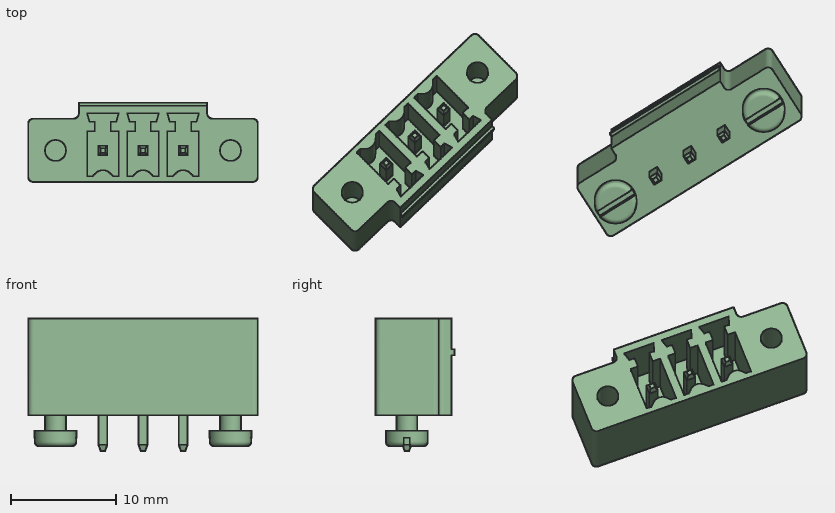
import cadquery as cq
import math


total_length = 21.82
flange_depth = 6.03
housing_depth = 7.25
housing_height = 9.2
back_length = 12.2
corner_radius = 0.5

rib_protrusion = 0.3
rib_bottom = 5.7
rib_height = 0.6

pitch = 3.81
contact_count = 3
row_y = 3.0
pin_width = 0.86
pin_tip_width = 0.43
pin_taper_height = 0.6
pin_bottom = -3.4
pin_top = 7.8

floor_thickness = 2.0
pocket_depth = housing_height - floor_thickness
pocket_width = 3.0
pocket_front_y = 0.53
pocket_shoulder_y = 4.81
neck_width = 1.5
dovetail_front_y = 5.72
dovetail_front_width = 2.54
dovetail_back_y = 6.52
bump_base_width = 2.0
bump_height = 0.6
bump_flank_angle = math.radians(45)

screw_spacing = 16.62
hole_diameter = 2.0
hole_depth = pocket_depth
shank_diameter = 2.0
shank_length = 1.45
head_diameter = 4.0
head_height = 1.5
head_rounding = 0.45
slot_width = 0.6
slot_depth = 0.8

contact_xs = [pitch * (i - (contact_count - 1) / 2) for i in range(contact_count)]
screw_points = [(-screw_spacing / 2, row_y), (screw_spacing / 2, row_y)]


def make_housing():
    """Flanged block with a wider middle section and a rib across its back."""
    flanges = (
        cq.Workplane("XY")
        .box(total_length, flange_depth, housing_height, centered=(True, False, False))
        .edges("|Z")
        .fillet(corner_radius)
    )
    middle = cq.Workplane("XY").box(
        back_length, housing_depth, housing_height, centered=(True, False, False)
    )
    inner_corners = cq.selectors.BoxSelector(
        (-back_length / 2 - corner_radius, flange_depth - corner_radius, 0),
        (back_length / 2 + corner_radius, flange_depth + corner_radius, housing_height),
    )
    block = flanges.union(middle).edges("|Z").edges(inner_corners).fillet(corner_radius)
    rib = cq.Workplane("XY", origin=(0, row_y, rib_bottom)).box(
        back_length, housing_depth + rib_protrusion - row_y, rib_height, centered=(True, False, False)
    )
    return block.union(rib)


def make_pocket(x):
    """Keyed opening: main chamber, neck and dovetail, with a rounded bump on the front wall."""
    half_base = bump_base_width / 2
    flank_slope = math.tan(bump_flank_angle)
    crown_radius = (half_base * flank_slope - bump_height) / (1 / math.cos(bump_flank_angle) - 1)
    tangent_x = crown_radius * math.sin(bump_flank_angle)
    crown_y = pocket_front_y + bump_height
    tangent_y = crown_y - crown_radius * (1 - math.cos(bump_flank_angle))
    return (
        cq.Workplane("XY", origin=(x, 0, floor_thickness))
        .moveTo(-pocket_width / 2, pocket_front_y)
        .lineTo(-half_base, pocket_front_y)
        .lineTo(-tangent_x, tangent_y)
        .threePointArc((0, crown_y), (tangent_x, tangent_y))
        .lineTo(half_base, pocket_front_y)
        .lineTo(pocket_width / 2, pocket_front_y)
        .lineTo(pocket_width / 2, pocket_shoulder_y)
        .lineTo(neck_width / 2, pocket_shoulder_y)
        .lineTo(neck_width / 2, dovetail_front_y)
        .lineTo(dovetail_front_width / 2, dovetail_front_y)
        .lineTo(pocket_width / 2, dovetail_back_y)
        .lineTo(-pocket_width / 2, dovetail_back_y)
        .lineTo(-dovetail_front_width / 2, dovetail_front_y)
        .lineTo(-neck_width / 2, dovetail_front_y)
        .lineTo(-neck_width / 2, pocket_shoulder_y)
        .lineTo(-pocket_width / 2, pocket_shoulder_y)
        .close()
        .extrude(pocket_depth)
    )


def make_pin(x):
    """Square pin tapered at both ends."""
    def tip(z_wide, z_narrow):
        return (
            cq.Workplane("XY", origin=(x, row_y, z_wide))
            .rect(pin_width, pin_width)
            .workplane(offset=z_narrow - z_wide)
            .rect(pin_tip_width, pin_tip_width)
            .loft(ruled=True)
        )

    shaft_bottom = pin_bottom + pin_taper_height
    shaft_top = pin_top - pin_taper_height
    shaft = (
        cq.Workplane("XY", origin=(x, row_y, shaft_bottom))
        .rect(pin_width, pin_width)
        .extrude(shaft_top - shaft_bottom)
    )
    return shaft.union(tip(shaft_bottom, pin_bottom)).union(tip(shaft_top, pin_top))


def make_screw(point):
    """Slotted screw hanging below the flange, its rounded head facing down."""
    x, y = point
    head_bottom = -shank_length - head_height
    head = (
        cq.Workplane("XY", origin=(x, y, head_bottom))
        .circle(head_diameter / 2)
        .extrude(head_height)
        .faces("<Z")
        .edges()
        .fillet(head_rounding)
    )
    slot = cq.Workplane("XY", origin=(x, y, head_bottom)).box(
        head_diameter, slot_width, slot_depth, centered=(True, True, False)
    )
    shank = (
        cq.Workplane("XY", origin=(x, y, -shank_length))
        .circle(shank_diameter / 2)
        .extrude(shank_length)
    )
    return head.cut(slot).union(shank)


screw_holes = (
    cq.Workplane("XY", origin=(0, 0, housing_height))
    .pushPoints(screw_points)
    .circle(hole_diameter / 2)
    .extrude(-hole_depth)
)

result = make_housing().cut(screw_holes)
for contact_x in contact_xs:
    result = result.cut(make_pocket(contact_x)).union(make_pin(contact_x))
for screw_point in screw_points:
    result = result.union(make_screw(screw_point))